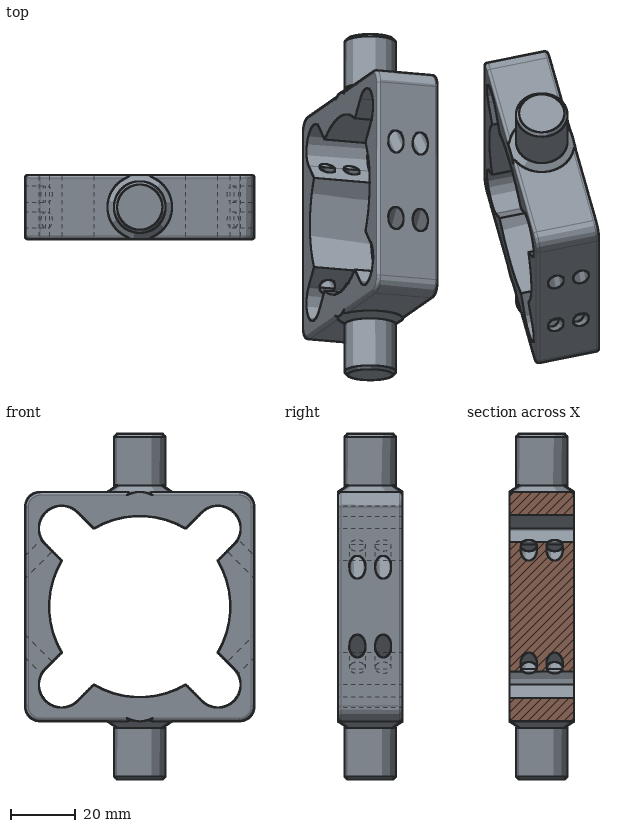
import cadquery as cq
import math

frame_side = 71.0
frame_depth = 20.0
corner_radius = 4.7
edge_fillet = 1.0

bore_radius = 28.0
slot_radius = 7.0
slot_center_distance = 34.2

overall_height = 107.0
pin_radius = 8.0
pin_chamfer = 1.0

collar_radius = 10.0
collar_top_radius = 7.0
collar_height = 2.0
skirt_half_width = 4.0

hole_diameter = 5.0
hole_offset_y = 4.0
hole_entry_z = 12.2
hole_angle = 45.0

half_side = frame_side / 2
half_depth = frame_depth / 2
half_height = overall_height / 2


def frame_block():
    """Square block with rounded corners and rounded front and back edges."""
    block = cq.Workplane("XY").box(frame_side, frame_depth, frame_side)
    block = block.edges("|Y").fillet(corner_radius)
    return block.faces("<Y or >Y").edges().fillet(edge_fillet)


def upper_pin():
    """Chamfered pin on a conical collar, kept within the depth of the frame."""
    root_z = half_side - edge_fillet
    root_radius = math.hypot(half_depth, skirt_half_width)
    collar_top_z = half_side + collar_height
    profile = (
        cq.Workplane("XZ")
        .moveTo(0, root_z)
        .lineTo(root_radius, root_z)
        .lineTo(collar_radius, half_side)
        .lineTo(collar_top_radius, collar_top_z)
        .lineTo(pin_radius, collar_top_z)
        .lineTo(pin_radius, half_height - pin_chamfer)
        .lineTo(pin_radius - pin_chamfer, half_height)
        .lineTo(0, half_height)
        .close()
    )
    pin = profile.revolve(360, (0, 0, 0), (0, 1, 0))
    depth_limit = cq.Workplane("XY").box(frame_side, frame_depth, overall_height)
    return pin.intersect(depth_limit)


def central_opening():
    """Round bore joined to four round-ended slots along the diagonals."""
    opening = cq.Workplane("XZ").circle(bore_radius).extrude(half_depth, both=True)
    slot_length = 2 * (slot_center_distance + slot_radius)
    slot_pair = cq.Workplane("XZ").slot2D(slot_length, 2 * slot_radius).extrude(half_depth, both=True)
    for angle in (45, 135):
        opening = opening.union(slot_pair.rotate((0, 0, 0), (0, 1, 0), angle))
    return opening


def angled_hole(x_side, y, z_side):
    """Hole from one X side, sloping away from mid-height, ending flush with the slot's flat wall."""
    slope = math.radians(hole_angle)
    direction = cq.Vector(-x_side * math.cos(slope), 0, z_side * math.sin(slope))
    entry = cq.Vector(x_side * half_side, y, z_side * hole_entry_z)
    centerline_depth = (half_side - hole_entry_z) * math.cos(slope)
    depth = centerline_depth - slot_radius
    overrun = hole_diameter
    start = entry - direction * overrun
    hole = cq.Solid.makeCylinder(hole_diameter / 2, depth + overrun, start, direction)
    return cq.Workplane(obj=hole)


lower_pin = upper_pin().mirror("XY")
body = frame_block().union(upper_pin()).union(lower_pin).cut(central_opening())

for x_side in (-1, 1):
    for y in (-hole_offset_y, hole_offset_y):
        for z_side in (-1, 1):
            body = body.cut(angled_hole(x_side, y, z_side))

result = body.solids()